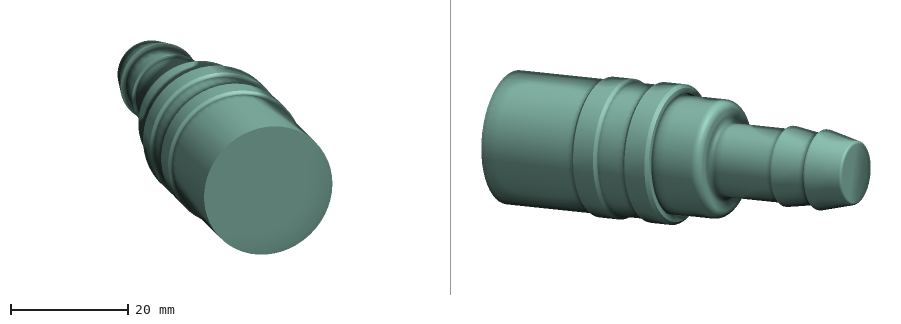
import cadquery as cq
import math

length = 66.55

tip_fillet = 0.5
tip_radius = 5.45
barb_radius = 13.9 / 2
barb_valley_radius = 6.0
barb_pitch = 6.45
barb_land = 0.25
neck_radius = 12.7 / 2
shoulder_radius = 20.5 / 2
step_radius = 17.5 / 2
shoulder_x = 25.0
neck_fillet = 1.0
shoulder_fillet = shoulder_radius - step_radius

sleeve_radius = 23.0 / 2
sleeve_bore_radius = 21.2 / 2
sleeve_x = 34.0
ring_radius = 24.15 / 2
ring_width = 5.0
ring_count = 2
ring_gap = 5.0
ring_chamfer = ring_radius - sleeve_radius
recess_depth = 1.0


def revolve_about_x(profile):
    """Turn a closed profile of (axial, radial) points around the X axis."""
    return profile.close().revolve(360, (0, 0, 0), (1, 0, 0))


def make_nipple():
    """Barbed hose stem with a rounded shoulder and a core that fills the sleeve bore."""
    first_crest_x = barb_pitch - barb_land
    cone_angle = math.atan2(barb_radius - tip_radius, first_crest_x)
    half_turn = (math.pi / 2 - cone_angle) / 2
    tangent_length = tip_fillet * math.tan(half_turn)
    tip_center_radius = tip_radius - tangent_length
    tip_arc_start = (0, tip_center_radius)
    tip_arc_middle = (
        tip_fillet * (1 - math.cos(half_turn)),
        tip_center_radius + tip_fillet * math.sin(half_turn),
    )
    tip_arc_end = (
        tangent_length * math.cos(cone_angle),
        tip_radius + tangent_length * math.sin(cone_angle),
    )

    arc_inset = 1 - math.sqrt(0.5)
    neck_arc_start = (shoulder_x - neck_fillet, neck_radius)
    neck_arc_middle = (
        shoulder_x - neck_fillet * arc_inset,
        neck_radius + neck_fillet * arc_inset,
    )
    neck_arc_end = (shoulder_x, neck_radius + neck_fillet)

    shoulder_arc_start = (shoulder_x, step_radius)
    shoulder_arc_middle = (
        shoulder_x + shoulder_fillet * arc_inset,
        shoulder_radius - shoulder_fillet * arc_inset,
    )
    shoulder_arc_end = (shoulder_x + shoulder_fillet, shoulder_radius)
    core_x = sleeve_x + recess_depth

    profile = (
        cq.Workplane("XY")
        .moveTo(0, 0)
        .lineTo(*tip_arc_start)
        .threePointArc(tip_arc_middle, tip_arc_end)
        .lineTo(first_crest_x, barb_radius)
        .lineTo(barb_pitch, barb_radius)
        .lineTo(barb_pitch, barb_valley_radius)
        .lineTo(2 * barb_pitch - barb_land, barb_radius)
        .lineTo(2 * barb_pitch, barb_radius)
        .lineTo(2 * barb_pitch, neck_radius)
        .lineTo(*neck_arc_start)
        .threePointArc(neck_arc_middle, neck_arc_end)
        .lineTo(*shoulder_arc_start)
        .threePointArc(shoulder_arc_middle, shoulder_arc_end)
        .lineTo(core_x, shoulder_radius)
        .lineTo(core_x, sleeve_bore_radius)
        .lineTo(length, sleeve_bore_radius)
        .lineTo(length, 0)
    )
    return revolve_about_x(profile)


def make_ring(start_x):
    """Raised grip ring, chamfered down to the sleeve surface at both ends."""
    end_x = start_x + ring_width
    profile = (
        cq.Workplane("XY")
        .moveTo(start_x, sleeve_bore_radius)
        .lineTo(start_x, sleeve_radius)
        .lineTo(start_x + ring_chamfer, ring_radius)
        .lineTo(end_x - ring_chamfer, ring_radius)
        .lineTo(end_x, sleeve_radius)
        .lineTo(end_x, sleeve_bore_radius)
    )
    return revolve_about_x(profile)


def make_sleeve():
    """Plain tube with two raised grip rings near its mouth."""
    sleeve = (
        cq.Workplane("YZ", origin=(sleeve_x, 0, 0))
        .circle(sleeve_radius)
        .circle(sleeve_bore_radius)
        .extrude(length - sleeve_x)
    )
    for ring_index in range(ring_count):
        sleeve = sleeve.union(make_ring(sleeve_x + ring_index * (ring_width + ring_gap)))
    return sleeve


nipple = make_nipple()
sleeve = make_sleeve()

result = cq.Compound.makeCompound([nipple.val(), sleeve.val()])